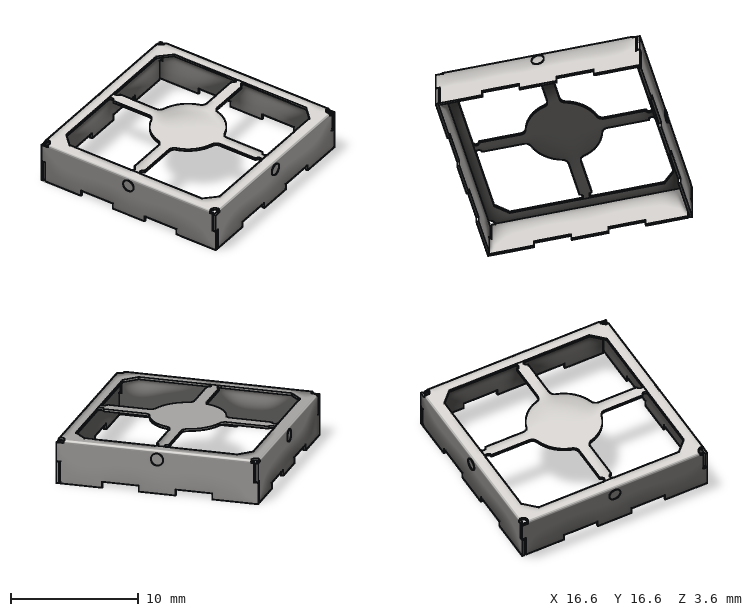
import cadquery as cq

SIDES = 4
QUARTER_TURN = 90

overall_width = 16.6
height = 3.6
sheet = 0.2
bend_radius = 0.22
dimple_rise = 0.05
frame_width = overall_width - 2 * dimple_rise
half_frame = frame_width / 2
inner_width = frame_width - 2 * sheet
half_inner = inner_width / 2
plate_bottom = height - sheet
bend_bottom = height - bend_radius

opening_width = 14.5
opening_chamfer = 1.0

foot_width = 3.0
foot_gap_width = foot_width
foot_height = 0.5

corner_gap = 0.15
tab_clearance = 0.05
upper_tab_bottom = height / 2 + tab_clearance / 2
lower_tab_top = height / 2 - tab_clearance / 2
relief_radius = 0.4

disc_radius = 3.0
arm_width = 1.0
arm_fillet = 0.5
neck_notch_radius = 0.25

dimple_diameter = 1.0
dimple_depth = 0.75


def block(x_min, y_min, z_min, x_size, y_size, z_size):
    """Box placed by its lowest corner."""
    return cq.Workplane("XY").box(x_size, y_size, z_size, centered=False).translate((x_min, y_min, z_min))


def turned(shape, side):
    """Shape turned about Z from the -Y side or -X/-Y corner to another one."""
    return shape.rotate((0, 0, 0), (0, 0, 1), side * QUARTER_TURN)


def make_shell():
    """Top plate with rounded bends, four walls and a chamfered opening."""
    outside = cq.Workplane("XY").rect(frame_width, frame_width).extrude(height)
    outside = outside.faces(">Z").edges().fillet(bend_radius)
    inside = cq.Workplane("XY").rect(inner_width, inner_width).extrude(plate_bottom)
    opening = cq.Workplane("XY").rect(opening_width, opening_width).extrude(height)
    opening = opening.edges("|Z").chamfer(opening_chamfer)
    return outside.cut(inside).cut(opening)


def make_foot_gaps():
    """Two cutouts at the bottom of the -Y wall, one on each side of the middle foot."""
    left_start = -foot_width / 2 - foot_gap_width
    left = block(left_start, -half_frame, 0, foot_gap_width, sheet, foot_height)
    return left.union(left.mirror("YZ"))


def make_corner_cutout():
    """Material removed where the -X and -Y walls interlock."""
    lower_gap = block(-half_inner, -half_frame, 0, corner_gap, sheet, upper_tab_bottom)
    upper_gap = block(-half_frame, -half_inner, lower_tab_top, sheet, corner_gap, height - lower_tab_top)
    level_gap = block(-half_frame, -half_frame, lower_tab_top, sheet, sheet, tab_clearance)
    relief = cq.Workplane("XY").circle(relief_radius).extrude(bend_radius)
    relief_centre = -half_frame + bend_radius
    relief = relief.translate((relief_centre, relief_centre, bend_bottom))
    return lower_gap.union(upper_gap).union(level_gap).union(relief)


def make_frame():
    """Bent shell with footed walls and interlocking corners."""
    frame = make_shell()
    foot_gaps = make_foot_gaps()
    corner_cutout = make_corner_cutout()
    for side in range(SIDES):
        frame = frame.cut(turned(foot_gaps, side))
        frame = frame.cut(turned(corner_cutout, side))
    return frame


def make_pickup_cross():
    """Disc on four arms that reach the edge of the opening, each with a notched neck."""
    plate = cq.Workplane("XY").workplane(offset=plate_bottom)
    cross = plate.circle(disc_radius).extrude(sheet)
    cross = cross.union(plate.rect(opening_width, arm_width).extrude(sheet))
    cross = cross.union(plate.rect(arm_width, opening_width).extrude(sheet))

    root_reach = disc_radius + arm_fillet
    roots = cq.selectors.BoxSelector((-root_reach, -root_reach, 0), (root_reach, root_reach, height))
    cross = cross.edges(roots).edges("|Z").fillet(arm_fillet)

    notch_distance = opening_width / 2 - neck_notch_radius
    notch_centres = [(-arm_width / 2, -notch_distance), (arm_width / 2, -notch_distance)]
    notches = plate.pushPoints(notch_centres).circle(neck_notch_radius).extrude(sheet)
    for side in range(SIDES):
        cross = cross.cut(turned(notches, side))
    return cross


def make_dimple(side):
    """Flat round boss lying on the outside of one wall."""
    dimple = cq.Workplane("XZ", origin=(0, -half_frame, height - dimple_depth))
    dimple = dimple.circle(dimple_diameter / 2).extrude(dimple_rise)
    return turned(dimple, side)


frame = make_frame()
pickup_cross = make_pickup_cross()
dimples = [make_dimple(side) for side in range(SIDES)]

result = cq.Compound.makeCompound([frame.val(), pickup_cross.val(), *[dimple.val() for dimple in dimples]])